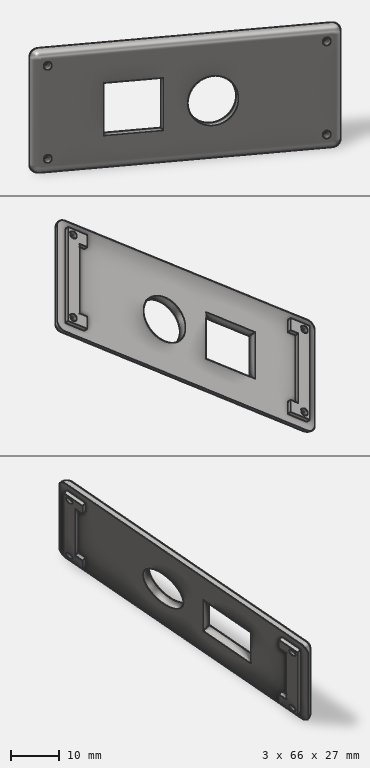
import cadquery as cq

length = 66.0
height = 27.0
plate_thickness = 2.0
corner_radius = 2.0
edge_radius = 1.9

bracket_thickness = 1.0
bracket_margin = 2.05
bracket_width = 4.95
spine_width = 3.0
foot_height = 3.0

screw_diameter = 1.7
screw_inset = 3.4

round_diameter = 10.7
round_y = 5.5
round_z = -0.6
window_width = 12.55
window_height = 11.35
window_y = -11.4
window_z = -0.4

bracket_face_x = -bracket_thickness


def box(x_size, y_size, z_size):
    """Box centred in Y and Z that starts at X = 0."""
    return cq.Workplane("XY").box(x_size, y_size, z_size, centered=(False, True, True))


def make_plate():
    plate = box(plate_thickness, length, height).edges("|X").fillet(corner_radius)
    return plate.faces(">X").edges().fillet(edge_radius)


def make_bracket(side):
    """C-shaped bracket at the +Y end (side = 1) or the -Y end (side = -1)."""
    outer_y = length / 2 - bracket_margin
    spine_y = outer_y - spine_width
    foot_y = outer_y - bracket_width
    top_z = height / 2 - bracket_margin
    foot_z = top_z - foot_height
    outline = [
        (outer_y, top_z),
        (foot_y, top_z),
        (foot_y, foot_z),
        (spine_y, foot_z),
        (spine_y, -foot_z),
        (foot_y, -foot_z),
        (foot_y, -top_z),
        (outer_y, -top_z),
    ]
    points = [(side * y, z) for y, z in outline]
    sketch = cq.Workplane("YZ").workplane(offset=bracket_face_x)
    return sketch.polyline(points).close().extrude(bracket_thickness)


def make_cutters():
    """Screw holes, round opening and window, running through the full depth."""
    depth = bracket_thickness + plate_thickness
    base = cq.Workplane("YZ").workplane(offset=bracket_face_x)
    screws = (
        base.rect(length - 2 * screw_inset, height - 2 * screw_inset, forConstruction=True)
        .vertices()
        .circle(screw_diameter / 2)
        .extrude(depth)
    )
    round_opening = base.center(round_y, round_z).circle(round_diameter / 2).extrude(depth)
    window = box(depth, window_width, window_height).translate((bracket_face_x, window_y, window_z))
    return [screws, round_opening, window]


result = make_plate()
for end in (1, -1):
    result = result.union(make_bracket(end))
for cutter in make_cutters():
    result = result.cut(cutter)